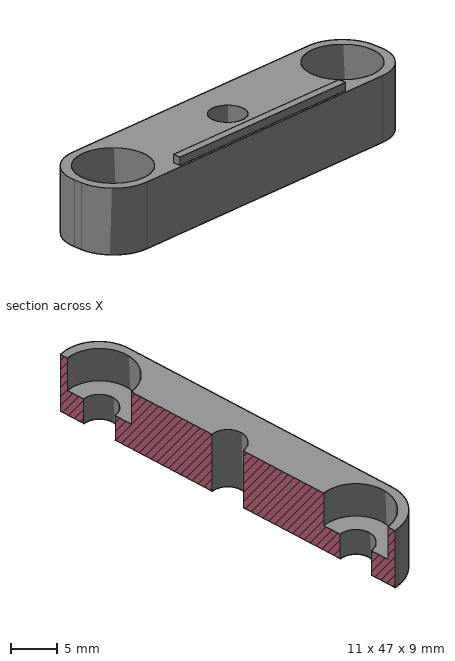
import cadquery as cq

length = 47.0
width = 11.0
total_height = 9.0
corner_radius = 5.0

rail_size = 1.0
rail_length = 26.0
rail_edge_gap = 0.3
body_height = total_height - rail_size

hole_diameter = 4.35
end_hole_offset = 18.0
counterbore_diameter = 9.0
counterbore_depth = 4.5


def make_body():
    """Rounded bar standing on the XY plane."""
    return (
        cq.Workplane("XY")
        .box(width, length, body_height, centered=(True, True, False))
        .edges("|Z")
        .fillet(corner_radius)
    )


def cut_holes(body):
    """Plain hole in the middle and a counterbored hole at each end."""
    body = body.faces(">Z").workplane(origin=(0, 0, body_height)).hole(hole_diameter)
    return (
        body.faces(">Z")
        .workplane(origin=(0, 0, body_height))
        .pushPoints([(0, -end_hole_offset), (0, end_hole_offset)])
        .cboreHole(hole_diameter, counterbore_diameter, counterbore_depth)
    )


def make_rail():
    """Square rail along Y, resting on the top face."""
    rail_x = width / 2 - rail_edge_gap - rail_size / 2
    return (
        cq.Workplane("XY", origin=(rail_x, 0, body_height))
        .box(rail_size, rail_length, rail_size, centered=(True, True, False))
    )


result = cut_holes(make_body()).union(make_rail())